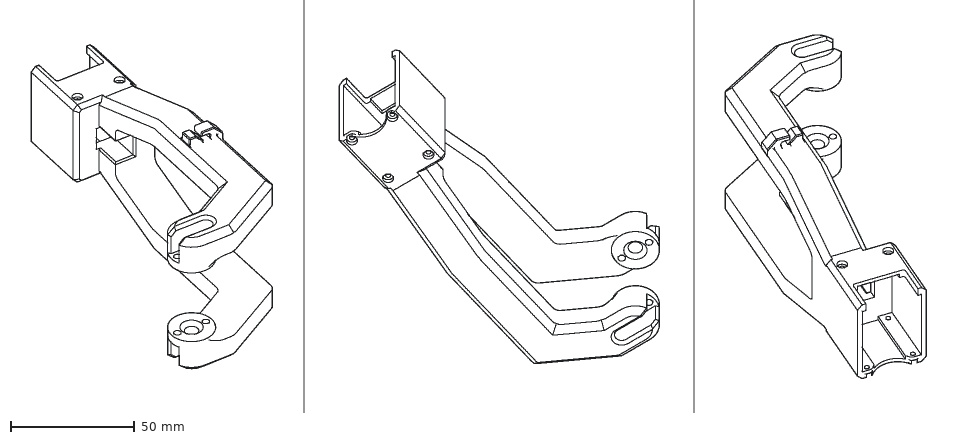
import cadquery as cq
import math

HOUSING_LENGTH = 32.8
HOUSING_WIDTH = 30.7
HOUSING_HALF_HEIGHT = 19.7
HOUSING_CHAMFER = 2.1
END_CHAMFER = 1.8
SIDE_WALL = 2.3
TOP_WALL = 3.6
END_WALL = 3.8
MID_Y = -HOUSING_WIDTH / 2

RELIEF_DEPTH = 1.8
CEILING_RELIEF_WIDTH = 18.5
CEILING_RELIEF_LENGTH = 21.0
FLOOR_RELIEF_WIDTH = 13.8

NOTCH_LENGTH = 13.2
NOTCH_WIDTH = 23.2
NOTCH_CORNER_RADIUS = 1.0
SCALLOP_RADIUS = 10.5
SCALLOP_DEPTH = 4.7
SCALLOP_CORNER_RADIUS = 2.3

SCREW_HOLE_DIAMETER = 2.0
SCREW_HEAD_DIAMETER = 4.4
SCREW_HEAD_DEPTH = 1.8
SCREW_FRONT_X = 2.0
SCREW_REAR_X = 26.5
SCREW_SPACING_Y = 20.5

ARM_WIDTH = 19.2
ARM_CHAMFER = 2.9
ARM_OUTER_Z = 33.4
ARM_INNER_Z = 21.4
ARM_ROOT_X = HOUSING_LENGTH
ARM_OUTER_BEND_X = 73.0
ARM_INNER_BEND_X = 72.0
ARM_BEND_RADIUS = 10.5
WEB_END_X = 44.8
WEB_CORNER_RADIUS = 3.3
ARM_SLOPE = (ARM_OUTER_Z - HOUSING_HALF_HEIGHT) / (ARM_OUTER_BEND_X - ARM_ROOT_X)
WEB_CORNER_Z = ARM_INNER_Z - ARM_SLOPE * (ARM_INNER_BEND_X - WEB_END_X)

ARM_TIP_X = 150.4
TIP_RADIUS = 9.8
TIP_CENTER = (ARM_TIP_X - TIP_RADIUS, -45.3)
ELBOW_ANGLE = math.radians(60)
ELBOW_OUTER_X = 132.5
ELBOW_INNER_X = 121.5
ELBOW_RADIUS = 3.6
ANKLE_RADIUS = 8.3
TIP_INNER_X = ARM_TIP_X - 2 * TIP_RADIUS
OUTER_ANKLE_Y = -(ARM_TIP_X - ELBOW_OUTER_X) * math.tan(ELBOW_ANGLE)
INNER_ANKLE_Y = -ARM_WIDTH - (TIP_INNER_X - ELBOW_INNER_X) * math.tan(ELBOW_ANGLE)

PAD_FACE_Z = 17.5
PAD_SCREW_DIAMETER = 3.0
PAD_SCREW_OFFSET = 6.9
SLOT_WIDTH = 5.9
SLOT_CHAMFER = 1.4
SOCKET_FLOOR_DIAMETER = 5.9
SOCKET_DEPTH = 1.8

WINDOW_SIZE = 10.5
WINDOW_CHAMFER = 0.8

CLIP_CENTER_X = 91.7
CLIP_WIDTH = 5.9
CLIP_EDGE_CHAMFER = 0.5
SKIRT_RADIUS = 0.9
HOOK_BACK_Y = 0.2
HOOK_SHOULDER_Z = 34.0
HOOK_TOP_Z = 38.0
HOOK_TIP_Y = -10.1
HOOK_UNDERSIDE_Z = 35.6
HOOK_TIP_RADIUS = 0.9
HOOK_THROAT_Y = -6.0
HOOK_THROAT_RADIUS = 1.2
CATCH_TOP_Z = 37.0
CATCH_TOE_Y = -9.0
CATCH_FRONT_Y = -16.0


def box(x0, x1, y0, y1, z0, z1):
    return cq.Workplane("XY").box(x1 - x0, y1 - y0, z1 - z0, centered=False).translate((x0, y0, z0))


def upright_cylinder(x, y, diameter, z0, z1):
    return cq.Workplane("XY", origin=(x, y, z0)).circle(diameter / 2).extrude(z1 - z0)


def round_edge(body, point, radius):
    return body.edges(cq.selectors.NearestToPointSelector(point)).fillet(radius)


def make_housing():
    h = HOUSING_HALF_HEIGHT
    body = box(0, HOUSING_LENGTH, -HOUSING_WIDTH, 0, -h, h)
    body = body.edges("|X").chamfer(HOUSING_CHAMFER)
    body = body.faces(">X").edges().chamfer(END_CHAMFER)

    cavity_end = HOUSING_LENGTH - END_WALL
    ceiling = h - TOP_WALL
    body = body.cut(box(0, cavity_end, SIDE_WALL - HOUSING_WIDTH, -SIDE_WALL, -ceiling, ceiling))
    half = CEILING_RELIEF_WIDTH / 2
    body = body.cut(box(0, CEILING_RELIEF_LENGTH, MID_Y - half, MID_Y + half, 0, ceiling + RELIEF_DEPTH))
    half = FLOOR_RELIEF_WIDTH / 2
    body = body.cut(box(0, cavity_end, MID_Y - half, MID_Y + half, -ceiling - RELIEF_DEPTH, 0))

    half = NOTCH_WIDTH / 2
    notch = box(-1.5, NOTCH_LENGTH, MID_Y - half, MID_Y + half, 0, h)
    notch = notch.faces(">X").edges("|Z").fillet(NOTCH_CORNER_RADIUS)
    return body.cut(notch).cut(make_scallop())


def make_scallop():
    """Bite whose mouth is rounded convexly into the open end of the housing."""
    center_x = SCALLOP_DEPTH - SCALLOP_RADIUS
    r = SCALLOP_CORNER_RADIUS
    reach = math.sqrt((SCALLOP_RADIUS + r) ** 2 - (r - center_x) ** 2)
    share = SCALLOP_RADIUS / (SCALLOP_RADIUS + r)
    touch_x = center_x + share * (r - center_x)
    touch_y = share * reach
    outline = (
        cq.Workplane("XY", origin=(0, MID_Y, -HOUSING_HALF_HEIGHT))
        .moveTo(-1.5, -reach)
        .lineTo(0, -reach)
        .radiusArc((touch_x, -touch_y), r)
        .threePointArc((SCALLOP_DEPTH, 0), (touch_x, touch_y))
        .radiusArc((0, reach), r)
        .lineTo(-1.5, reach)
        .close()
    )
    return outline.extrude(HOUSING_HALF_HEIGHT)


def make_screw_holes():
    """Counterbored holes, from above at the rear and from below at both ends."""
    h = HOUSING_HALF_HEIGHT
    holes = cq.Workplane("XY")
    for side in (-1, 1):
        y = MID_Y + side * SCREW_SPACING_Y / 2
        for x in (SCREW_FRONT_X, SCREW_REAR_X):
            holes = holes.add(upright_cylinder(x, y, SCREW_HOLE_DIAMETER, -h, 0))
            holes = holes.add(upright_cylinder(x, y, SCREW_HEAD_DIAMETER, -h, -h + SCREW_HEAD_DEPTH))
        holes = holes.add(upright_cylinder(SCREW_REAR_X, y, SCREW_HOLE_DIAMETER, 0, h))
        holes = holes.add(upright_cylinder(SCREW_REAR_X, y, SCREW_HEAD_DIAMETER, h - SCREW_HEAD_DEPTH, h))
    return holes.combine()


def make_arm_plan():
    """Arm seen along Z, as a prism from Z = 0 to the outer face."""
    start_x = HOUSING_LENGTH - END_WALL
    return (
        cq.Workplane("XY")
        .moveTo(start_x, 0)
        .lineTo(ELBOW_OUTER_X, 0)
        .lineTo(ARM_TIP_X, OUTER_ANKLE_Y)
        .lineTo(ARM_TIP_X, TIP_CENTER[1])
        .threePointArc((TIP_CENTER[0], TIP_CENTER[1] - TIP_RADIUS), (TIP_INNER_X, TIP_CENTER[1]))
        .lineTo(TIP_INNER_X, INNER_ANKLE_Y)
        .lineTo(ELBOW_INNER_X, -ARM_WIDTH)
        .lineTo(start_x, -ARM_WIDTH)
        .close()
        .extrude(ARM_OUTER_Z)
    )


def make_arm_profile():
    """Arm and half of the web seen along Y, as a prism wide enough for the whole arm."""
    depth = -TIP_CENTER[1] + TIP_RADIUS
    return (
        cq.Workplane("XZ")
        .moveTo(HOUSING_LENGTH - END_WALL, 0)
        .lineTo(HOUSING_LENGTH - END_WALL, HOUSING_HALF_HEIGHT)
        .lineTo(ARM_ROOT_X, HOUSING_HALF_HEIGHT)
        .lineTo(ARM_OUTER_BEND_X, ARM_OUTER_Z)
        .lineTo(ARM_TIP_X, ARM_OUTER_Z)
        .lineTo(ARM_TIP_X, ARM_INNER_Z)
        .lineTo(ARM_INNER_BEND_X, ARM_INNER_Z)
        .lineTo(WEB_END_X, WEB_CORNER_Z)
        .lineTo(WEB_END_X, 0)
        .close()
        .extrude(depth)
    )


def make_pad(plan):
    """Round pad that flares into the inner face of the arm, kept inside the arm's plan."""
    flare = ARM_INNER_Z - PAD_FACE_Z
    foot = TIP_RADIUS + flare
    arc_mid = flare * (1 - math.sqrt(0.5))
    pad = (
        cq.Workplane("XZ")
        .moveTo(0, PAD_FACE_Z)
        .lineTo(TIP_RADIUS, PAD_FACE_Z)
        .threePointArc((TIP_RADIUS + arc_mid, ARM_INNER_Z - arc_mid), (foot, ARM_INNER_Z))
        .lineTo(foot, ARM_INNER_Z + 1.5)
        .lineTo(0, ARM_INNER_Z + 1.5)
        .close()
        .revolve(360, (0, 0), (0, 1))
        .translate((*TIP_CENTER, 0))
    )
    return pad.intersect(plan)


def make_socket():
    """Conical recess in the pad face, with walls at 45 degrees."""
    floor_radius = SOCKET_FLOOR_DIAMETER / 2
    socket = cq.Workplane("XY", origin=(*TIP_CENTER, PAD_FACE_Z)).circle(floor_radius + SOCKET_DEPTH)
    return socket.workplane(offset=SOCKET_DEPTH).circle(floor_radius).loft()


def cut_slot(arm):
    x, y = TIP_CENTER
    half = SLOT_WIDTH / 2
    end_y = y + PAD_SCREW_OFFSET
    slot = box(x - half, x + half, y - 2 * TIP_RADIUS, end_y, ARM_INNER_Z, ARM_OUTER_Z)
    slot = slot.union(upright_cylinder(x, end_y, SLOT_WIDTH, ARM_INNER_Z, ARM_OUTER_Z))
    arm = arm.cut(slot)

    margin = 0.2
    rim = cq.selectors.BoxSelector(
        (x - half - margin, y - TIP_RADIUS, ARM_OUTER_Z - ARM_CHAMFER),
        (x + half + margin, end_y + half + margin, ARM_OUTER_Z + margin),
    )
    mouth = cq.selectors.BoxSelector(
        (x - half - margin, y - TIP_RADIUS, ARM_INNER_Z + margin),
        (x + half + margin, y - TIP_RADIUS / 2, ARM_OUTER_Z),
    )
    return arm.edges(rim + mouth).chamfer(SLOT_CHAMFER)


def chamfer_outer_rim(arm):
    """Bevel the long edges of the outer faces, including those around the tip."""
    root_mid_x = HOUSING_LENGTH - END_WALL / 2
    slope_mid_x = (ARM_ROOT_X + ARM_OUTER_BEND_X) / 2
    slope_mid_z = (HOUSING_HALF_HEIGHT + ARM_OUTER_Z) / 2
    rim = []
    for x, z in ((root_mid_x, HOUSING_HALF_HEIGHT), (slope_mid_x, slope_mid_z)):
        face = arm.faces(cq.selectors.NearestToPointSelector((x, -ARM_WIDTH / 2, z)))
        rim += face.edges("not(|Y)").vals()
    bend = cq.selectors.NearestToPointSelector((ARM_OUTER_BEND_X, -ARM_WIDTH / 2, ARM_OUTER_Z))
    rim += arm.faces(">Z").edges(-bend).vals()
    return arm.newObject(rim).chamfer(ARM_CHAMFER)


def make_arm():
    plan = make_arm_plan()
    arm = chamfer_outer_rim(plan.intersect(make_arm_profile()))
    mid_y = -ARM_WIDTH / 2
    side_z = (ARM_INNER_Z + ARM_OUTER_Z - ARM_CHAMFER) / 2
    roundings = [
        ((ARM_OUTER_BEND_X, mid_y, ARM_OUTER_Z), ARM_BEND_RADIUS),
        ((ARM_INNER_BEND_X, mid_y, ARM_INNER_Z), ARM_BEND_RADIUS),
        ((WEB_END_X, mid_y, WEB_CORNER_Z), WEB_CORNER_RADIUS),
        ((ELBOW_OUTER_X, 0, side_z), ELBOW_RADIUS),
        ((ELBOW_INNER_X, -ARM_WIDTH, side_z), ELBOW_RADIUS),
        ((ARM_TIP_X, OUTER_ANKLE_Y, side_z), ANKLE_RADIUS),
        ((TIP_INNER_X, INNER_ANKLE_Y, side_z), ANKLE_RADIUS),
    ]
    for point, radius in roundings:
        arm = round_edge(arm, point, radius)
    arm = cut_slot(arm.union(make_pad(plan))).cut(make_socket())
    for side in (-1, 1):
        y = TIP_CENTER[1] + side * PAD_SCREW_OFFSET
        arm = arm.cut(upright_cylinder(TIP_CENTER[0], y, PAD_SCREW_DIAMETER, PAD_FACE_Z, ARM_INNER_Z))
    return arm


def cut_window(body):
    """Square tunnel along X; beyond the housing it is open towards -Y."""
    half = WINDOW_SIZE / 2
    floor_y = MID_Y + half
    window = box(HOUSING_LENGTH - END_WALL, WEB_END_X, floor_y - WINDOW_SIZE, floor_y, -half, half)
    body = body.cut(window)
    mid_x = (HOUSING_LENGTH + WEB_END_X) / 2
    mid_y = (floor_y - ARM_WIDTH) / 2
    rim = [(WEB_END_X, floor_y, 0)]
    for z in (-half, half):
        rim += [(mid_x, -ARM_WIDTH, z), (WEB_END_X, mid_y, z)]
    edges = [body.edges(cq.selectors.NearestToPointSelector(point)).val() for point in rim]
    return body.newObject(edges).chamfer(WINDOW_CHAMFER)


def extrude_clip(outline):
    """Thicken a (Y, Z) outline about the clip's centre and bevel the edges standing above the arm."""
    body = outline.close().extrude(CLIP_WIDTH)
    above = cq.selectors.BoxSelector(
        (-1.5, -ARM_WIDTH, ARM_OUTER_Z),
        (CLIP_WIDTH + 1.5, 1.5, HOOK_TOP_Z + 1.5),
    )
    body = body.faces("<X or >X").edges(above).chamfer(CLIP_EDGE_CHAMFER)
    return body.translate((CLIP_CENTER_X - CLIP_WIDTH / 2, 0, 0))


def make_hook():
    base_z = ARM_OUTER_Z - ARM_CHAMFER
    slope_run = HOOK_TOP_Z - HOOK_SHOULDER_Z
    tip_r = HOOK_TIP_RADIUS
    throat_r = HOOK_THROAT_RADIUS
    outline = (
        cq.Workplane("YZ")
        .moveTo(HOOK_BACK_Y, base_z)
        .lineTo(HOOK_BACK_Y, HOOK_SHOULDER_Z)
        .lineTo(HOOK_BACK_Y - slope_run, HOOK_TOP_Z)
        .lineTo(HOOK_TIP_Y + tip_r, HOOK_TOP_Z)
        .radiusArc((HOOK_TIP_Y, HOOK_TOP_Z - tip_r), -tip_r)
        .lineTo(HOOK_TIP_Y, HOOK_UNDERSIDE_Z)
        .lineTo(HOOK_THROAT_Y - throat_r, HOOK_UNDERSIDE_Z)
        .radiusArc((HOOK_THROAT_Y, HOOK_UNDERSIDE_Z - throat_r), throat_r)
        .lineTo(HOOK_THROAT_Y, ARM_OUTER_Z - CLIP_EDGE_CHAMFER)
        .lineTo(-ARM_CHAMFER, base_z)
    )
    return extrude_clip(outline)


def make_catch():
    base_z = ARM_OUTER_Z - CLIP_EDGE_CHAMFER
    ramp_run = CATCH_TOP_Z - ARM_OUTER_Z
    outline = (
        cq.Workplane("YZ")
        .moveTo(CATCH_FRONT_Y, base_z)
        .lineTo(CATCH_TOE_Y, base_z)
        .lineTo(CATCH_TOE_Y, ARM_OUTER_Z)
        .lineTo(CATCH_TOE_Y - ramp_run, CATCH_TOP_Z)
        .lineTo(CATCH_FRONT_Y, CATCH_TOP_Z)
    )
    catch = extrude_clip(outline)
    return catch.faces("<Y").edges(">Z").chamfer(CLIP_EDGE_CHAMFER)


def make_skirt(start_y, start_z, length, tilt=0):
    """Foot with concave flanks, running towards -Y and climbing by the tilt in degrees."""
    half = CLIP_WIDTH / 2
    r = SKIRT_RADIUS
    sink = 0.2
    foot = (
        cq.Workplane("XZ")
        .moveTo(-half - r, -sink)
        .lineTo(-half - r, 0)
        .radiusArc((-half, r), -r)
        .lineTo(half, r)
        .radiusArc((half + r, 0), -r)
        .lineTo(half + r, -sink)
        .close()
        .extrude(length)
    )
    return foot.rotate((0, 0, 0), (1, 0, 0), -tilt).translate((CLIP_CENTER_X, start_y, start_z))


def make_clip():
    """Hook and catch with a skirt under each; the hook's skirt also follows the arm's rear bevel."""
    bevel_skirt = make_skirt(0, ARM_OUTER_Z - ARM_CHAMFER, ARM_CHAMFER * math.sqrt(2), tilt=45)
    bevel_skirt = bevel_skirt.intersect(box(0, ARM_TIP_X, -ARM_WIDTH, HOOK_BACK_Y, 0, HOOK_TOP_Z))
    hook_skirt = make_skirt(-ARM_CHAMFER, ARM_OUTER_Z, -HOOK_THROAT_Y - ARM_CHAMFER)
    catch_skirt_y = CATCH_TOE_Y - SKIRT_RADIUS
    catch_skirt = make_skirt(catch_skirt_y, ARM_OUTER_Z, catch_skirt_y - CATCH_FRONT_Y)
    return make_hook().union(bevel_skirt).union(hook_skirt).union(make_catch()).union(catch_skirt)


arm = make_arm()
result = make_housing().union(arm).union(arm.mirror("XY")).cut(make_screw_holes())
result = cut_window(result)
result = result.union(make_clip())